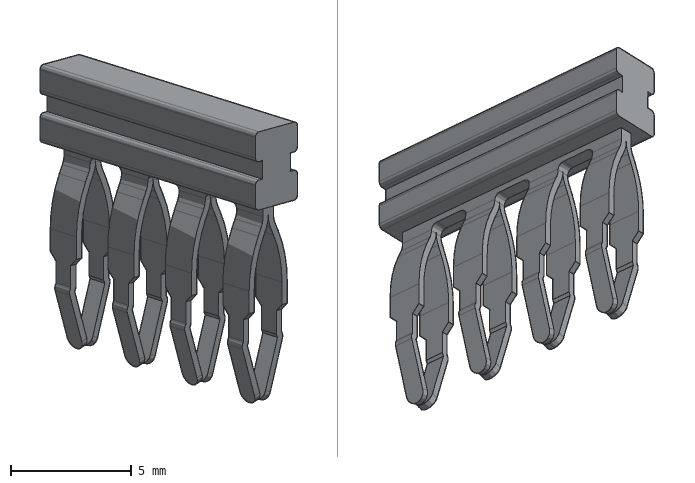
import cadquery as cq
import math


BAR_LENGTH = 13.1
BAR_WIDTH = 2.4
BAR_HEIGHT = 3.4
GROOVE_WIDTH = 0.8
GROOVE_DEPTH = 0.4
BAR_EDGE_RADIUS = 0.2

FORK_COUNT = 4
FORK_PITCH = 3.5
FORK_WIDTH = 1.6
TIP_WIDTH = 0.9
WEB_BOTTOM = -0.3
WEB_CORNER_RADIUS = 0.3
TAPER_TOP = -4.6
TAPER_BOTTOM = TAPER_TOP - (FORK_WIDTH - TIP_WIDTH) / 2
COMB_LENGTH = (FORK_COUNT - 1) * FORK_PITCH + FORK_WIDTH
TOTAL_HEIGHT = 12.22
COMB_BOTTOM = BAR_HEIGHT - TOTAL_HEIGHT

LEAF_THICKNESS = 0.3
SPLIT_Z = -0.55
SPREAD_ANGLE = math.radians(25.5)
SPREAD_RADIUS = 1.0
SPREAD_STRAIGHT = 0.4
BOW_RADIUS = 5.3
KNEE_Z = -6.12
KNEE_OFFSET = 0.07
CREASE_RISE = 0.15
KNEE_BLEND_RADIUS = 0.1
CLOSE_ANGLE = math.radians(17.5)


def polar(center, radius, angle):
    """Point (y, z) at a distance and angle from a centre; the angle rises from +Y."""
    return (center[0] + radius * math.cos(angle), center[1] + radius * math.sin(angle))


def make_bar():
    bar = cq.Workplane("XY").box(BAR_LENGTH, BAR_WIDTH, BAR_HEIGHT, centered=(True, True, False))
    for side in (-1, 1):
        groove = cq.Workplane("XY").box(BAR_LENGTH, 2 * GROOVE_DEPTH, GROOVE_WIDTH)
        bar = bar.cut(groove.translate((0, side * BAR_WIDTH / 2, BAR_HEIGHT / 2)))
    outer_edges = bar.faces("<Y or >Y").edges("|X")
    return outer_edges.fillet(BAR_EDGE_RADIUS)


spread_center = (LEAF_THICKNESS + SPREAD_RADIUS, SPLIT_Z)
spread_end_angle = math.pi + SPREAD_ANGLE
spread_foot = polar(spread_center, SPREAD_RADIUS, spread_end_angle)
bow_top = (
    spread_foot[0] + SPREAD_STRAIGHT * math.sin(SPREAD_ANGLE),
    spread_foot[1] - SPREAD_STRAIGHT * math.cos(SPREAD_ANGLE),
)
bow_center = polar(bow_top, -BOW_RADIUS, SPREAD_ANGLE)
leaf_outer_y = bow_center[0] + BOW_RADIUS
leaf_inner_y = leaf_outer_y - LEAF_THICKNESS
crease = (leaf_inner_y + KNEE_OFFSET, KNEE_Z)
knee_start_angle = math.acos((leaf_outer_y - crease[0]) / LEAF_THICKNESS)
knee_start = polar(crease, LEAF_THICKNESS, knee_start_angle)
knee_end = polar(crease, LEAF_THICKNESS, -CLOSE_ANGLE)
tip_outer = (knee_end[0] - (knee_end[1] - COMB_BOTTOM) * math.tan(CLOSE_ANGLE), COMB_BOTTOM)
tip_inner = polar(tip_outer, -LEAF_THICKNESS, -CLOSE_ANGLE)


def make_leaf_strip():
    """Section of the +Y leaf, extruded along the whole comb."""
    spread_inner_radius = SPREAD_RADIUS + LEAF_THICKNESS
    bow_inner_radius = BOW_RADIUS - LEAF_THICKNESS
    spread_middle = math.pi + SPREAD_ANGLE / 2
    knee_middle = (knee_start_angle - CLOSE_ANGLE) / 2
    section = (
        cq.Workplane("YZ")
        .moveTo(0, 0)
        .lineTo(LEAF_THICKNESS, 0)
        .lineTo(LEAF_THICKNESS, SPLIT_Z)
        .threePointArc(polar(spread_center, SPREAD_RADIUS, spread_middle), spread_foot)
        .lineTo(*bow_top)
        .threePointArc(
            polar(bow_center, BOW_RADIUS, SPREAD_ANGLE / 2),
            polar(bow_center, BOW_RADIUS, 0),
        )
        .lineTo(*knee_start)
        .threePointArc(polar(crease, LEAF_THICKNESS, knee_middle), knee_end)
        .lineTo(*tip_outer)
        .lineTo(*tip_inner)
        .lineTo(*crease)
        .lineTo(leaf_inner_y, KNEE_Z + CREASE_RISE)
        .lineTo(*polar(bow_center, bow_inner_radius, 0))
        .threePointArc(
            polar(bow_center, bow_inner_radius, SPREAD_ANGLE / 2),
            polar(bow_center, bow_inner_radius, SPREAD_ANGLE),
        )
        .lineTo(*polar(spread_center, spread_inner_radius, spread_end_angle))
        .threePointArc(polar(spread_center, spread_inner_radius, spread_middle), (0, SPLIT_Z))
        .close()
    )
    strip = section.extrude(COMB_LENGTH / 2, both=True)
    knee_edge = cq.selectors.NearestToPointSelector((0, *knee_start))
    return strip.edges("|X").edges(knee_edge).fillet(KNEE_BLEND_RADIUS)


def fork_positions():
    return [(i - (FORK_COUNT - 1) / 2) * FORK_PITCH for i in range(FORK_COUNT)]


def make_comb_outline():
    """Flat outline of the comb in XZ (web and stepped forks), as a thick block."""
    web = cq.Workplane("XY").box(COMB_LENGTH, BAR_WIDTH, -WEB_BOTTOM)
    outline = web.translate((0, 0, WEB_BOTTOM / 2))
    for x in fork_positions():
        fork = (
            cq.Workplane("XZ")
            .polyline([
                (x - FORK_WIDTH / 2, WEB_BOTTOM),
                (x + FORK_WIDTH / 2, WEB_BOTTOM),
                (x + FORK_WIDTH / 2, TAPER_TOP),
                (x + TIP_WIDTH / 2, TAPER_BOTTOM),
                (x + TIP_WIDTH / 2, COMB_BOTTOM),
                (x - TIP_WIDTH / 2, COMB_BOTTOM),
                (x - TIP_WIDTH / 2, TAPER_BOTTOM),
                (x - FORK_WIDTH / 2, TAPER_TOP),
            ])
            .close()
            .extrude(BAR_WIDTH / 2, both=True)
        )
        outline = outline.union(fork)
    inside_corners = cq.selectors.BoxSelector(
        (-COMB_LENGTH / 2 + FORK_WIDTH / 2, -BAR_WIDTH, WEB_BOTTOM - WEB_CORNER_RADIUS),
        (COMB_LENGTH / 2 - FORK_WIDTH / 2, BAR_WIDTH, WEB_BOTTOM + WEB_CORNER_RADIUS),
    )
    return outline.edges("|Y").edges(inside_corners).fillet(WEB_CORNER_RADIUS)


def make_tip_trim():
    """Waste around the full-round tips of the +Y leaves, square to the leaf."""
    tip_radius = TIP_WIDTH / 2
    leaf_plane = cq.Plane(
        origin=(0, tip_outer[0], tip_outer[1]),
        xDir=(1, 0, 0),
        normal=(0, -math.cos(CLOSE_ANGLE), math.sin(CLOSE_ANGLE)),
    )
    centers = [(x, tip_radius) for x in fork_positions()]
    corners = [(x, tip_radius / 2) for x in fork_positions()]
    blocks = cq.Workplane(leaf_plane).pushPoints(corners).rect(TIP_WIDTH, tip_radius)
    rounds = cq.Workplane(leaf_plane).pushPoints(centers).circle(tip_radius)
    return blocks.extrude(LEAF_THICKNESS).cut(rounds.extrude(LEAF_THICKNESS))


def make_comb():
    leaf = make_leaf_strip().intersect(make_comb_outline()).cut(make_tip_trim())
    return leaf.union(leaf.mirror("XZ"))


bar = make_bar()
comb = make_comb()
result = cq.Compound.makeCompound([bar.val(), *comb.solids().vals()])